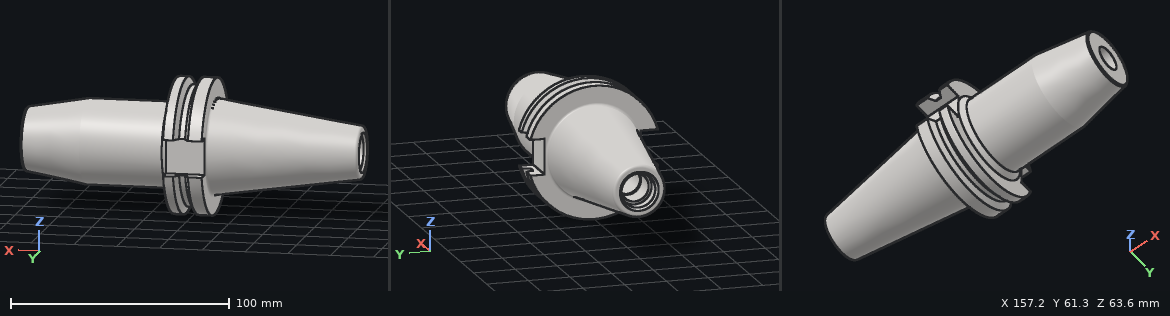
import cadquery as cq
import math

length = 157.2

taper_slope = 7 / 24 / 2
taper_end_x = 68.1
taper_end_radius = 44.5 / 2
taper_tip_radius = taper_end_radius - taper_slope * taper_end_x
tip_rounding = 1.4
flange_rounding = 1.3

flange_start_x = 69.2
flange_end_x = 87.3
flange_radius = 31.8
rear_bevel_length = 1.0
rear_bevel_depth = 0.2
groove_center_x = 79.1
groove_floor_width = 2.8
groove_radius = 28.1
groove_half_angle = 30.0

slot_width = 17.0
front_slot_floor = 22.5
back_slot_floor = 23.7

body_radius = 39.8 / 2
shoulder_height = 2.8
nose_start_x = 128.6
nose_half_angle = 10.0
nose_bevel = 0.6

mouth_diameter = 18.5
socket_diameter = 16.2
mouth_depth = 1.4
socket_depth = 7.0
neck_diameter = 13.4
neck_depth = 18.9
bore_diameter = 12.4


def make_body():
    """Revolve the outer half profile about the X axis."""
    groove_floor_start = groove_center_x - groove_floor_width / 2
    groove_floor_end = groove_center_x + groove_floor_width / 2
    groove_wall_run = (flange_radius - groove_radius) * math.tan(math.radians(groove_half_angle))
    nose_bevel_x = length - nose_bevel
    nose_radius = body_radius - (nose_bevel_x - nose_start_x) * math.tan(math.radians(nose_half_angle))
    flange_profile = [
        (flange_start_x, flange_radius),
        (groove_floor_start - groove_wall_run, flange_radius),
        (groove_floor_start, groove_radius),
        (groove_floor_end, groove_radius),
        (groove_floor_end + groove_wall_run, flange_radius),
        (flange_end_x - rear_bevel_length, flange_radius),
        (flange_end_x, flange_radius - rear_bevel_depth),
        (flange_end_x, body_radius + shoulder_height),
        (flange_end_x + shoulder_height, body_radius),
        (nose_start_x, body_radius),
        (nose_bevel_x, nose_radius),
        (length, nose_radius - nose_bevel),
        (length, 0),
    ]
    body = (
        cq.Workplane("XY")
        .lineTo(0, taper_tip_radius)
        .lineTo(taper_end_x, taper_end_radius)
        .radiusArc((flange_start_x, taper_end_radius + flange_rounding), -flange_rounding)
        .polyline(flange_profile, includeCurrent=True)
        .close()
        .revolve(360, (0, 0, 0), (1, 0, 0))
    )
    return body.faces("<X").edges().fillet(tip_rounding)


def make_slot(side, floor):
    """Block that clears one drive slot; side is -1 or +1 along Y."""
    slot_length = flange_end_x - taper_end_x
    slot_depth = flange_radius - floor
    return cq.Workplane("XY").box(slot_length, slot_depth, slot_width).translate(
        (taper_end_x + slot_length / 2, side * (floor + slot_depth / 2), 0)
    )


def make_bore():
    """Revolve the stepped bore with its countersunk mouth."""
    profile = [
        (0, 0),
        (0, mouth_diameter / 2),
        (mouth_depth, socket_diameter / 2),
        (socket_depth, socket_diameter / 2),
        (socket_depth, neck_diameter / 2),
        (neck_depth, neck_diameter / 2),
        (neck_depth, bore_diameter / 2),
        (length, bore_diameter / 2),
        (length, 0),
    ]
    return cq.Workplane("XY").polyline(profile).close().revolve(360, (0, 0, 0), (1, 0, 0))


result = (
    make_body()
    .cut(make_slot(-1, front_slot_floor))
    .cut(make_slot(1, back_slot_floor))
    .cut(make_bore())
)